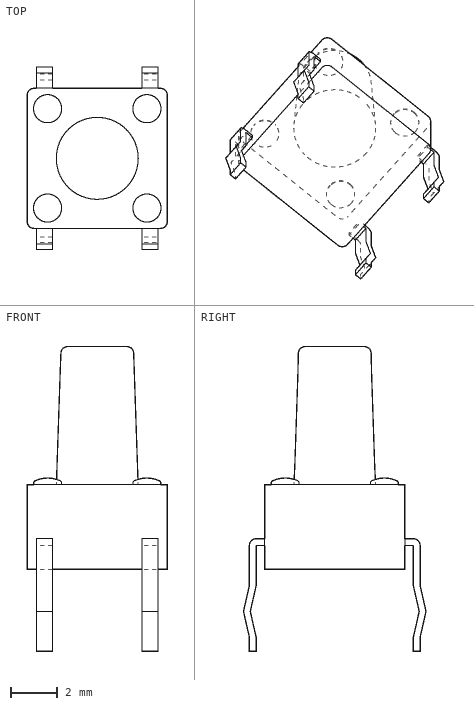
import cadquery as cq

body_side = 5.99
body_height = 3.61
body_corner_radius = 0.3

button_height = 5.9
button_base_radius = 1.75
button_shoulder_radius = 1.56
button_edge_radius = 0.3
button_top_radius = button_shoulder_radius - button_edge_radius

rivet_pitch = 4.24
rivet_radius = 0.6
rivet_rim_height = 0.04
rivet_shoulder_radius = 0.53
rivet_shoulder_height = 0.17
rivet_height = 0.29

leg_pitch = 4.5
leg_width = 0.7
leg_thickness = 0.3
leg_bend_radius = 0.3
leg_outer_y = 3.65
leg_top_z = 1.31
leg_bottom_z = -3.5
kink_depth = 0.25
kink_start_z = -0.7
kink_peak_z = -1.8
kink_end_z = 2 * kink_peak_z - kink_start_z
leg_embed = 0.3


def make_body():
    block = cq.Workplane("XY").box(body_side, body_side, body_height, centered=(True, True, False))
    return block.edges("|Z").fillet(body_corner_radius)


def make_button():
    """Cone with a rounded top rim, turned about the Z axis."""
    shoulder_z = button_height - button_edge_radius
    profile = (
        cq.Workplane("XZ")
        .lineTo(button_base_radius, 0)
        .lineTo(button_shoulder_radius, shoulder_z)
        .radiusArc((button_top_radius, button_height), -button_edge_radius)
        .lineTo(0, button_height)
        .close()
    )
    return profile.revolve(360, (0, 0), (0, 1)).translate((0, 0, body_height))


def make_rivet():
    """Rivet head: short rim, rounded shoulder and a shallow dome."""
    shoulder_round = rivet_shoulder_height - rivet_rim_height
    dome_rise = rivet_height - rivet_shoulder_height
    dome_radius = (rivet_shoulder_radius**2 + dome_rise**2) / (2 * dome_rise)
    profile = (
        cq.Workplane("YZ")
        .lineTo(rivet_radius, 0)
        .lineTo(rivet_radius, rivet_rim_height)
        .radiusArc((rivet_shoulder_radius, rivet_shoulder_height), -shoulder_round)
        .radiusArc((0, rivet_height), -dome_radius)
        .close()
    )
    return profile.revolve(360, (0, 0), (0, 1)).translate((0, 0, body_height))


def make_leg():
    """Leg on the +Y side, centred on X = 0, with its root embedded in the housing."""
    root_y = body_side / 2 - leg_embed
    inner_y = leg_outer_y - leg_thickness
    profile = (
        cq.Workplane("YZ")
        .moveTo(root_y, leg_top_z)
        .lineTo(leg_outer_y - leg_bend_radius, leg_top_z)
        .radiusArc((leg_outer_y, leg_top_z - leg_bend_radius), leg_bend_radius)
        .lineTo(leg_outer_y, kink_start_z)
        .lineTo(leg_outer_y + kink_depth, kink_peak_z)
        .lineTo(leg_outer_y, kink_end_z)
        .lineTo(leg_outer_y, leg_bottom_z)
        .lineTo(inner_y, leg_bottom_z)
        .lineTo(inner_y, kink_end_z)
        .lineTo(inner_y + kink_depth, kink_peak_z)
        .lineTo(inner_y, kink_start_z)
        .lineTo(inner_y, leg_top_z - leg_thickness)
        .lineTo(root_y, leg_top_z - leg_thickness)
        .close()
    )
    return profile.extrude(leg_width / 2, both=True)


result = make_body().union(make_button())

rivet = make_rivet()
leg = make_leg()
mirrored_leg = leg.mirror("XZ")
for x_side in (-1, 1):
    leg_offset = (x_side * leg_pitch / 2, 0, 0)
    result = result.union(leg.translate(leg_offset))
    result = result.union(mirrored_leg.translate(leg_offset))
    for y_side in (-1, 1):
        rivet_offset = (x_side * rivet_pitch / 2, y_side * rivet_pitch / 2, 0)
        result = result.union(rivet.translate(rivet_offset))